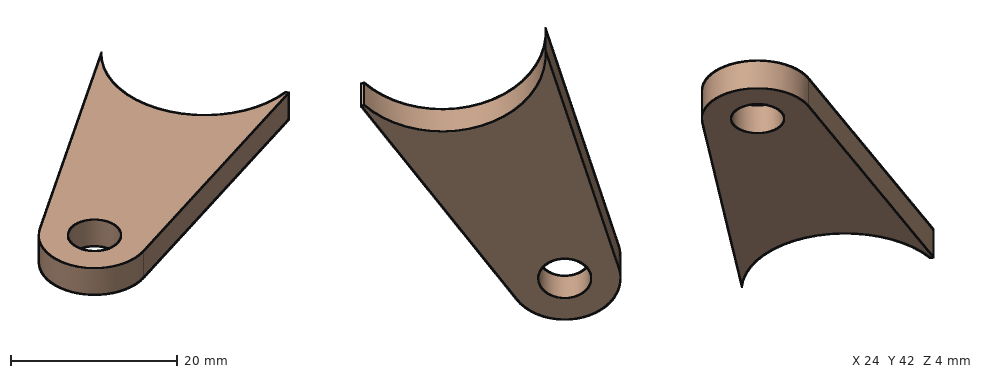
import cadquery as cq
import math

length = 42.05
thickness = 4.0
wide_end_width = 24.0

end_radius = 6.72
hole_diameter = 6.4

seat_radius = 12.45
seat_depth = 8.5
seat_offset = -0.2

wide_end_y = length - end_radius
half_width = wide_end_width / 2
seat_center_y = wide_end_y - seat_depth + seat_radius

corner_distance = math.hypot(half_width, wide_end_y)
corner_angle = math.atan2(wide_end_y, half_width)
tangent_angle = corner_angle - math.acos(end_radius / corner_distance)
tangent_x = end_radius * math.cos(tangent_angle)
tangent_y = end_radius * math.sin(tangent_angle)

plate = (
    cq.Workplane("XY")
    .moveTo(-half_width, wide_end_y)
    .lineTo(-tangent_x, tangent_y)
    .threePointArc((0, -end_radius), (tangent_x, tangent_y))
    .lineTo(half_width, wide_end_y)
    .close()
    .extrude(thickness)
)

seat = (
    cq.Workplane("XY")
    .center(seat_offset, seat_center_y)
    .circle(seat_radius)
    .extrude(thickness)
)

pin_hole = cq.Workplane("XY").circle(hole_diameter / 2).extrude(thickness)

result = plate.cut(seat).cut(pin_hole)